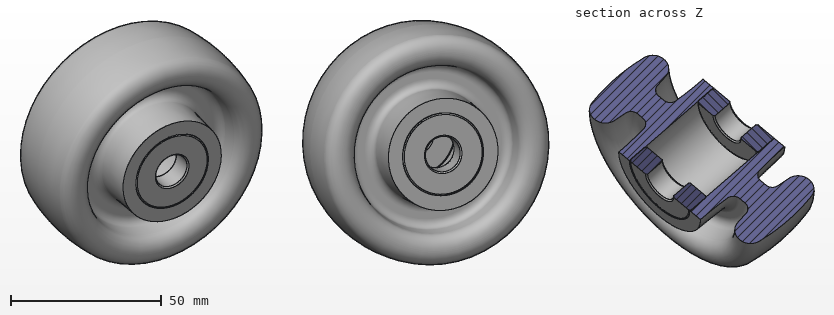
import cadquery as cq
import math


wheel_radius = 40.0
tread_half_width = 16.5
crown_arc_radius = 71.6
shoulder_radius = 5.0
side_face_outer_radius = 34.0
side_face_inner_radius = 33.5

rim_round_radius = 5.0
web_fillet_radius = 3.0
web_half_thickness = 5.0
web_outer_radius = 25.0
web_inner_radius = 22.5

hub_end_radius = 19.0
hub_half_length = 20.0

bearing_outer_radius = 14.0
bearing_bore_radius = 6.0
bearing_width = 8.0
bearing_chamfer = 0.5

crown_center = (0, wheel_radius - crown_arc_radius)
shoulder_center = (tread_half_width - shoulder_radius, side_face_outer_radius)
rim_round_center = (tread_half_width - rim_round_radius, side_face_inner_radius)
rim_fillet_center = (web_half_thickness + web_fillet_radius, web_outer_radius)
hub_fillet_center = (web_half_thickness + web_fillet_radius, web_inner_radius)


def offset(start, end):
    """Distance and direction (radians) from one profile point to another."""
    dx = end[0] - start[0]
    dr = end[1] - start[1]
    return math.hypot(dx, dr), math.atan2(dr, dx)


def arc_point(center, radius, angle):
    return (center[0] + radius * math.cos(angle), center[1] + radius * math.sin(angle))


crown_angle = math.pi / 2
shoulder_angle = offset(crown_center, shoulder_center)[1]

rim_span, rim_direction = offset(rim_fillet_center, rim_round_center)
rim_wall_angle = rim_direction + math.acos((rim_round_radius + web_fillet_radius) / rim_span)

hub_end = (hub_half_length, hub_end_radius)
hub_span, hub_direction = offset(hub_end, hub_fillet_center)
hub_wall_angle = hub_direction - math.acos(web_fillet_radius / hub_span)


def add_arc(profile, center, radius, start_angle, end_angle):
    """Continue the profile along an arc; the profile must already be at its start."""
    middle = arc_point(center, radius, (start_angle + end_angle) / 2)
    return profile.threePointArc(middle, arc_point(center, radius, end_angle))


def make_wheel_half():
    """The +X half of the wheel, with the bearing seat bored straight through."""
    profile = cq.Workplane("XZ").moveTo(0, bearing_outer_radius).lineTo(0, wheel_radius)
    profile = add_arc(profile, crown_center, crown_arc_radius, crown_angle, shoulder_angle)
    profile = add_arc(profile, shoulder_center, shoulder_radius, shoulder_angle, 0)
    profile = profile.lineTo(tread_half_width, side_face_inner_radius)
    profile = add_arc(profile, rim_round_center, rim_round_radius, 0, rim_wall_angle - math.pi)
    profile = profile.lineTo(*arc_point(rim_fillet_center, web_fillet_radius, rim_wall_angle))
    profile = add_arc(profile, rim_fillet_center, web_fillet_radius, rim_wall_angle, math.pi)
    profile = profile.lineTo(web_half_thickness, web_inner_radius)
    profile = add_arc(profile, hub_fillet_center, web_fillet_radius, math.pi, hub_wall_angle + math.pi)
    profile = profile.lineTo(*hub_end).lineTo(hub_half_length, bearing_outer_radius)
    return profile.close().revolve(360, (0, 0, 0), (1, 0, 0))


def make_wheel():
    half = make_wheel_half()
    return half.union(half.mirror("YZ")).solids()


def make_bearing(start_x):
    return (
        cq.Workplane("YZ", origin=(start_x, 0, 0))
        .circle(bearing_outer_radius)
        .circle(bearing_bore_radius)
        .extrude(bearing_width)
        .faces("<X or >X")
        .edges()
        .chamfer(bearing_chamfer)
        .solids()
    )


wheel = make_wheel()
bearing_starts = (-hub_half_length, hub_half_length - bearing_width)
bearings = [make_bearing(start_x) for start_x in bearing_starts]

result = cq.Compound.makeCompound([wheel.val(), *[bearing.val() for bearing in bearings]])